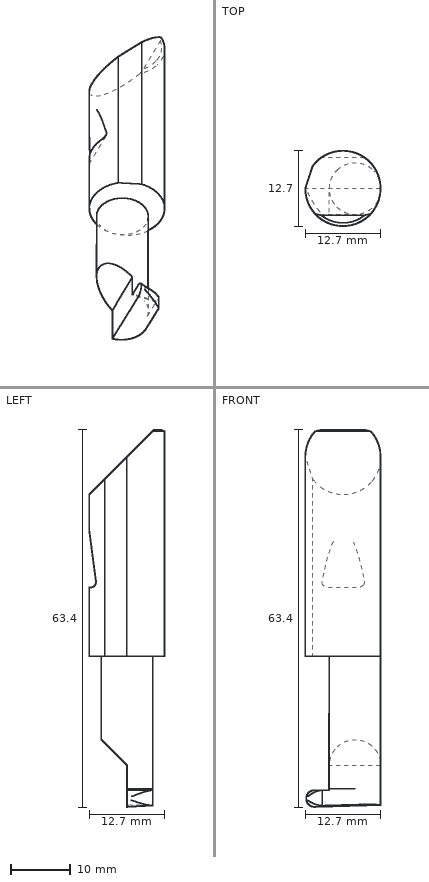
import cadquery as cq
import math


total_length = 63.44
shank_length = 38.1
shank_radius = 6.35
shank_bottom = total_length - shank_length
end_flat_edge_y = -4.5
end_chamfer_radial = 0.55
end_chamfer_axial = 0.25
side_flat_edge_y = 3.75

notch_depth = 1.25
notch_bottom = 36.95
notch_top = 46.4
notch_corner_radius = 0.9

neck_radius = 4.35
neck_center_x = shank_radius - neck_radius
neck_left_x = neck_center_x - neck_radius
rake_runout_z = 7.0

nose_radius = 1.425
nose_back_radius = 1.3
nose_tip_x = -6.2
nose_center_x = nose_tip_x + nose_radius
nose_top = 2 * nose_radius
head_top = 3.06
head_back_left_x = -3.5
nose_back_center_x = -3.35
relief_radius = 12.5
bottom_rise = math.tan(math.radians(1.7))

margin = 1.0


def make_shank():
    shank = cq.Workplane("XY").workplane(offset=shank_bottom).circle(shank_radius).extrude(shank_length)
    shank = shank.faces(">Z").edges().chamfer(end_chamfer_axial, end_chamfer_radial)
    return shank.cut(sloped_end()).cut(side_flat()).cut(clamping_notch())


def prism_along_x(points):
    """Extrude a (Y, Z) outline right across the shank."""
    half_width = shank_radius + margin
    return cq.Workplane("YZ").polyline(points).close().extrude(half_width, both=True)


def sloped_end():
    run = shank_radius + margin - end_flat_edge_y
    return prism_along_x([
        (end_flat_edge_y - margin, total_length + margin),
        (end_flat_edge_y + run, total_length + margin),
        (end_flat_edge_y + run, total_length - run),
    ])


def side_flat():
    edge_x = -math.sqrt(shank_radius**2 - side_flat_edge_y**2)
    outer_x = -shank_radius - margin
    outline = [(-shank_radius, 0), (edge_x, side_flat_edge_y), (outer_x, side_flat_edge_y), (outer_x, 0)]
    flat = cq.Workplane("XY").workplane(offset=shank_bottom).polyline(outline).close()
    return flat.extrude(shank_length)


def clamping_notch():
    floor_y = shank_radius - notch_depth
    ramp = notch_depth / (notch_top - notch_bottom)
    outer_y = shank_radius + margin
    notch = prism_along_x([
        (floor_y, notch_bottom),
        (outer_y, notch_bottom),
        (outer_y, notch_top + margin / ramp),
    ])
    return notch.edges("|X and <Y").fillet(notch_corner_radius)


def make_neck():
    """Offset round neck, halved below the rake run-out to expose the rake face at Y = 0."""
    neck = cq.Workplane("XY").center(neck_center_x, 0).circle(neck_radius).extrude(shank_bottom)
    depth = neck_radius + margin
    rake_cut = prism_along_x([
        (0, -margin),
        (0, rake_runout_z),
        (depth, rake_runout_z + depth),
        (depth, -margin),
    ])
    return neck.cut(rake_cut).cut(loft_front_to_back(underside_profile))


def loft_front_to_back(profile):
    """Join the outline at the rake face to the smaller outline at the back of the head."""
    rake_outline = profile(0, nose_center_x, nose_radius)
    back_outline = profile(-neck_radius, nose_back_center_x, nose_back_radius)
    return cq.Workplane(cq.Solid.makeLoft([rake_outline, back_outline], True))


def underside_end(center_x, radius):
    """Far end of the rising underside, just beyond the +X side of the neck."""
    right_x = shank_radius + margin
    return right_x, nose_top - 2 * radius + (right_x - center_x) * bottom_rise


def underside_profile(y, center_x, radius):
    """Region below the tilted underside."""
    right_x, right_z = underside_end(center_x, radius)
    points = [
        (center_x, nose_top - 2 * radius),
        (right_x, right_z),
        (right_x, -margin),
        (center_x, -margin),
    ]
    return cq.Workplane("XZ", origin=(0, y, 0)).polyline(points).close().wire().val()


def head_profile(y, center_x, radius):
    """Outline of the head at a given Y, with a round nose and a step up to the neck."""
    bottom = nose_top - 2 * radius
    right_x, right_z = underside_end(center_x, radius)
    return (
        cq.Workplane("XZ", origin=(0, y, 0))
        .moveTo(center_x, nose_top)
        .threePointArc((center_x - radius, nose_top - radius), (center_x, bottom))
        .lineTo(right_x, right_z)
        .lineTo(right_x, head_top)
        .lineTo(neck_left_x, head_top)
        .lineTo(neck_left_x, nose_top)
        .close()
        .wire()
        .val()
    )


def head_footprint():
    """Prism along Z: convex relief behind the nose, and a flat back tangent to the neck."""
    relief_chord = math.hypot(head_back_left_x - nose_tip_x, neck_radius)
    relief_bulge = relief_radius - math.sqrt(relief_radius**2 - (relief_chord / 2) ** 2)
    return (
        cq.Workplane("XY")
        .moveTo(nose_tip_x, 0)
        .sagittaArc((head_back_left_x, -neck_radius), -relief_bulge)
        .lineTo(neck_center_x, -neck_radius)
        .lineTo(neck_center_x, 0)
        .close()
        .extrude(head_top)
    )


def make_head():
    return loft_front_to_back(head_profile).intersect(head_footprint())


result = make_shank().union(make_neck()).union(make_head())